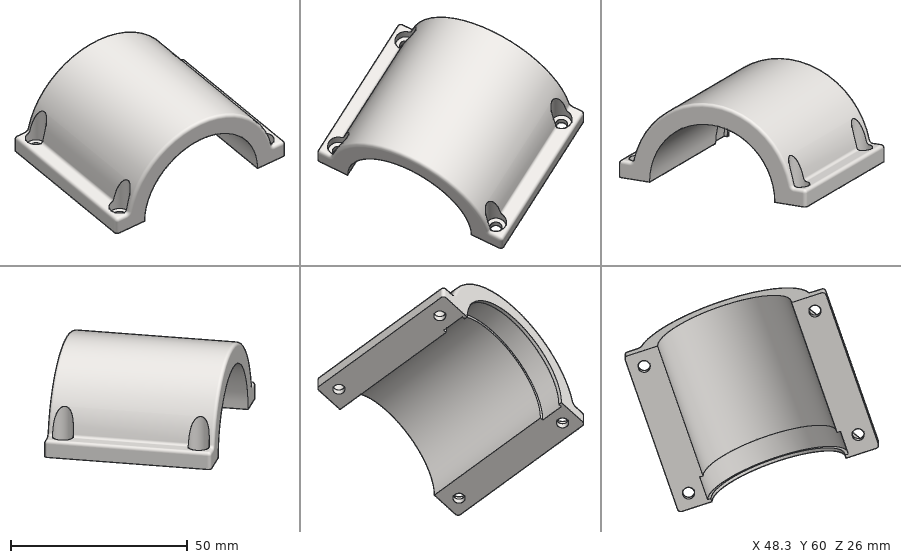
import cadquery as cq
import math

length = 48.34
foot_span = 60.0
outer_radius = 26.0
bore_radius = 20.0
foot_height = 5.0
edge_radius = 1.0
root_radius = 1.0

end_lip = 1.0
groove_width = 7.0
groove_depth = 1.0

screw_diameter = 3.4
head_diameter = 6.0
head_recess_depth = 3.0
screw_edge_distance = 4.5
screw_inset = 4.5
shifted_screw_inset = 5.5

end_x = length / 2
half_span = foot_span / 2
seat_height = foot_height - head_recess_depth
screw_y = half_span - screw_edge_distance


def make_shell():
    """Arch with two feet, rounded roots, and rounded outer edges."""
    root_centre_z = foot_height + root_radius
    root_centre_distance = outer_radius + root_radius
    root_centre_y = math.sqrt(root_centre_distance**2 - root_centre_z**2)
    tangent_ratio = outer_radius / root_centre_distance
    tangent_y = root_centre_y * tangent_ratio
    tangent_z = root_centre_z * tangent_ratio
    profile = (
        cq.Workplane("YZ", origin=(-end_x, 0, 0))
        .moveTo(-half_span, 0)
        .lineTo(-half_span, foot_height)
        .lineTo(-root_centre_y, foot_height)
        .tangentArcPoint((-tangent_y, tangent_z), relative=False)
        .threePointArc((0, outer_radius), (tangent_y, tangent_z))
        .tangentArcPoint((root_centre_y, foot_height), relative=False)
        .lineTo(half_span, foot_height)
        .lineTo(half_span, 0)
        .close()
    )
    solid = profile.extrude(length)
    solid = solid.edges("|Z").fillet(edge_radius)
    upper_edges = cq.selectors.BoxSelector(
        (-length, -foot_span, foot_height - edge_radius / 2),
        (length, foot_span, outer_radius + edge_radius),
    )
    end_outlines = solid.faces("<X or >X").edges(upper_edges)
    foot_sides = solid.faces("<Y or >Y").edges(upper_edges)
    return end_outlines.add(foot_sides).fillet(edge_radius)


def bore_cylinder(radius, start_x, width):
    """Cylinder along the bore axis, running from start_x towards +X."""
    return cq.Workplane("YZ", origin=(start_x, 0, 0)).circle(radius).extrude(width)


def screw_cutter(x, y):
    """Through hole, and a head recess rising from its seat past the arch flank."""
    hole = cq.Workplane("XY").center(x, y).circle(screw_diameter / 2).extrude(outer_radius)
    head = (
        cq.Workplane("XY", origin=(x, y, seat_height))
        .circle(head_diameter / 2)
        .extrude(outer_radius)
    )
    return hole.union(head)


screw_positions = [
    (-end_x + screw_inset, -screw_y),
    (end_x - screw_inset, -screw_y),
    (-end_x + shifted_screw_inset, screw_y),
    (end_x - screw_inset, screw_y),
]

result = make_shell()
result = result.cut(bore_cylinder(bore_radius, -end_x, length))
result = result.cut(bore_cylinder(bore_radius + groove_depth, -end_x + end_lip, groove_width))
for position in screw_positions:
    result = result.cut(screw_cutter(*position))